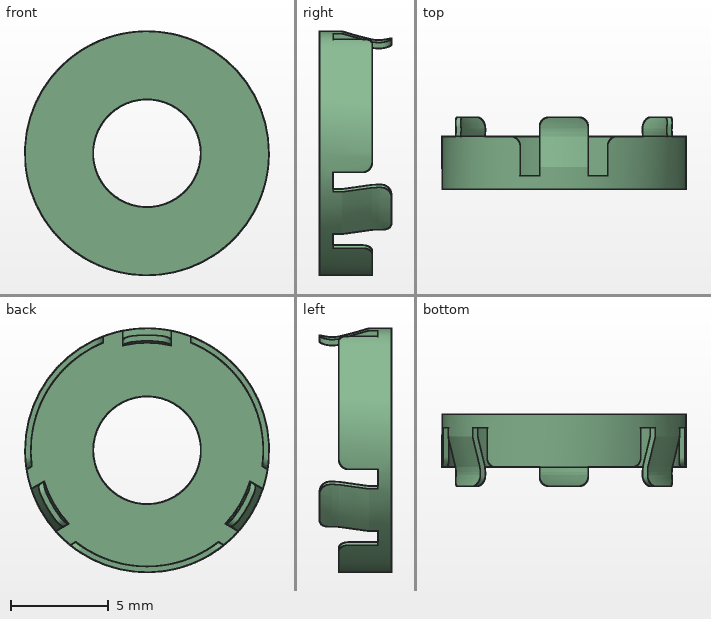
import cadquery as cq

outer_radius = 6.25
wall_thickness = 0.3
floor_thickness = 0.7
wall_height = 2.71
cut_depth = 1.2 * outer_radius
bore_diameter = 5.5

clip_count = 3
clip_width = 2.5
clip_tip = 3.7
slot_width = 4.48
corner_radius = 0.5

bend_start = 1.15
bend_end = 2.7
bend_end_radius = 5.82
neck_start = 2.98
neck_end = 3.11
neck_radius = 5.8
tip_middle = 3.42
tip_middle_radius = 5.84
tip_radius = 5.9


def ring(outer, inner, height):
    """Tube around the Y axis, from Y = 0 up to the given height."""
    return cq.Workplane("XZ").circle(outer).circle(inner).extrude(-height)


def around(shape, index):
    """Turn a shape about the Y axis to the position of the given clip."""
    return shape.rotate((0, 0, 0), (0, 1, 0), index * 360 / clip_count)


def make_slot():
    """Gap around one clip, flared where it rounds the corners of the wall."""
    half = slot_width / 2
    flare = half + corner_radius
    flare_start = wall_height - corner_radius
    return (
        cq.Workplane("XY")
        .moveTo(-half, floor_thickness)
        .lineTo(half, floor_thickness)
        .lineTo(half, flare_start)
        .radiusArc((flare, wall_height), corner_radius)
        .lineTo(-flare, wall_height)
        .radiusArc((-half, flare_start), corner_radius)
        .close()
        .extrude(cut_depth)
    )


def make_tongue():
    """Flat outline of one clip with rounded tip corners, extruded outward from the axis."""
    return (
        cq.Workplane("XY")
        .center(0, clip_tip / 2)
        .rect(clip_width, clip_tip)
        .extrude(cut_depth)
        .edges("|Z and >Y")
        .fillet(corner_radius)
    )


def make_clip_band():
    """Full ring with the clip profile: it bends inward, then curls outward at the tip."""
    inner = -wall_thickness
    return (
        cq.Workplane("XY")
        .moveTo(outer_radius, 0)
        .lineTo(outer_radius, bend_start)
        .lineTo(bend_end_radius, bend_end)
        .lineTo(neck_radius, neck_start)
        .lineTo(neck_radius, neck_end)
        .threePointArc((tip_middle_radius, tip_middle), (tip_radius, clip_tip))
        .lineTo(tip_radius + inner, clip_tip)
        .threePointArc((tip_middle_radius + inner, tip_middle), (neck_radius + inner, neck_end))
        .lineTo(neck_radius + inner, neck_start)
        .lineTo(bend_end_radius + inner, bend_end)
        .lineTo(outer_radius + inner, bend_start)
        .lineTo(outer_radius + inner, 0)
        .close()
        .revolve(360, (0, 0, 0), (0, 1, 0))
    )


floor = ring(outer_radius, bore_diameter / 2, floor_thickness)
wall = ring(outer_radius, outer_radius - wall_thickness, wall_height)
result = floor.union(wall)

slot = make_slot()
tongue = make_tongue()
clip_band = make_clip_band()
for position in range(clip_count):
    result = result.cut(around(slot, position))
    result = result.union(clip_band.intersect(around(tongue, position)))
result = result.clean()